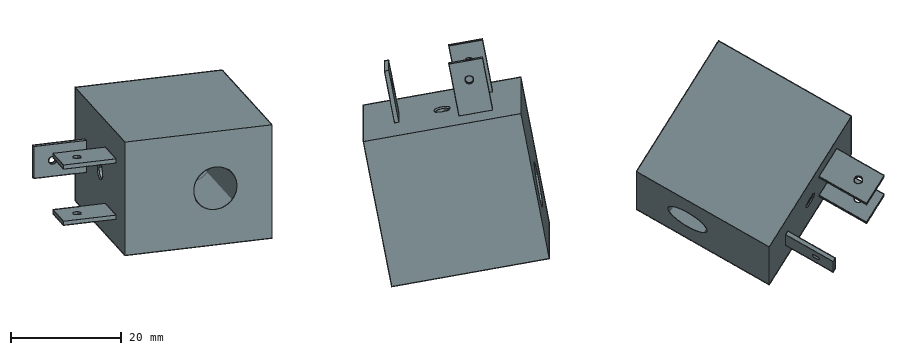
import cadquery as cq
import math


block_width = 29.0
block_length = 28.0
block_height = 22.0

bore_diameter = 8.2
bore_distance = 17.2

screw_diameter = 3.0
tap_drill_diameter = 2.5
screw_hole_depth = 8.0
drill_point_angle = 118.0

blade_length = 10.0
blade_width = 6.2
blade_thickness = 0.8
blade_hole_diameter = 1.5
blade_hole_distance = 6.4
ground_blade_x = -8.35
power_blade_x = 6.2
power_blade_spacing = 10.9


def make_block():
    """Plain rectangular block with the cross bore."""
    block = cq.Workplane("XY").box(
        block_width, block_length, block_height, centered=(True, False, True)
    )
    bore = (
        cq.Workplane("YZ")
        .center(bore_distance, 0)
        .circle(bore_diameter / 2)
        .extrude(block_width / 2, both=True)
    )
    return block.cut(bore)


def make_screw_hole():
    """Tapping hole with a 45 degree lead-in and a conical drill point, as a solid to cut."""
    mouth_radius = screw_diameter / 2
    drill_radius = tap_drill_diameter / 2
    lead_in = mouth_radius - drill_radius
    point_depth = drill_radius / math.tan(math.radians(drill_point_angle / 2))
    half_profile = (
        cq.Workplane("XY")
        .lineTo(mouth_radius, 0)
        .lineTo(drill_radius, lead_in)
        .lineTo(drill_radius, screw_hole_depth)
        .lineTo(0, screw_hole_depth + point_depth)
        .close()
    )
    return half_profile.revolve(360, (0, 0, 0), (0, 1, 0))


def make_blade():
    """Blade terminal lying flat, centred on the Y axis, with its hole along Z."""
    blade = cq.Workplane("XY").box(blade_width, blade_length, blade_thickness)
    blade = blade.translate((0, -blade_length / 2, 0))
    hole = (
        cq.Workplane("XY")
        .center(0, -blade_hole_distance)
        .circle(blade_hole_diameter / 2)
        .extrude(blade_thickness, both=True)
    )
    return blade.cut(hole)


result = make_block().cut(make_screw_hole())

for side in (-1, 1):
    power_blade = make_blade().translate((power_blade_x, 0, side * power_blade_spacing / 2))
    result = result.union(power_blade)

ground_blade = make_blade().rotate((0, 0, 0), (0, 1, 0), 90).translate((ground_blade_x, 0, 0))
result = result.union(ground_blade)